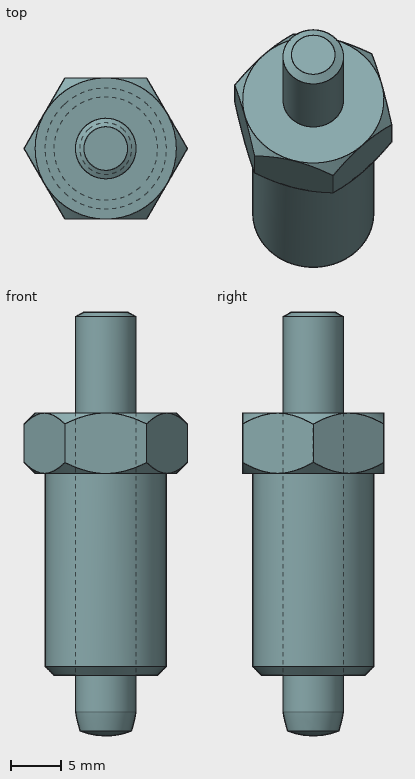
import cadquery as cq
import math

total_length = 42.0
pin_diameter = 6.0
pin_top_chamfer_width = 0.85
pin_top_chamfer_height = 0.45
tip_length = 2.4
dome_height = 0.5
dome_rim_radius = 2.55
taper_bulge = 0.05

barrel_diameter = 12.0
barrel_bottom = 6.0
barrel_chamfer = 0.9
head_bottom = 26.0
head_height = 6.0
head_across_flats = 14.0
head_across_corners = 16.2

pin_radius = pin_diameter / 2
taper_mid_radius = (pin_radius + dome_rim_radius) / 2 + taper_bulge
taper_mid_height = (tip_length + dome_height) / 2
dome_sphere_radius = (dome_rim_radius**2 + dome_height**2) / (2 * dome_height)
dome_mid_radius = dome_rim_radius / 2
dome_mid_height = dome_sphere_radius - math.sqrt(dome_sphere_radius**2 - dome_mid_radius**2)
barrel_length = head_bottom - barrel_bottom
head_corner_radius = head_across_corners / 2
head_flat_radius = head_across_flats / 2
head_corner_chamfer = head_corner_radius - head_flat_radius


def make_barrel():
    """Cylinder from the barrel end up to the head, chamfered at its lower rim."""
    return (
        cq.Workplane("XY", origin=(0, 0, barrel_bottom))
        .circle(barrel_diameter / 2)
        .extrude(barrel_length)
        .faces("<Z")
        .chamfer(barrel_chamfer)
    )


def make_head():
    """Hexagon with corners along X, its corners cut by a 45 degree cone at both ends."""
    head_plane = cq.Workplane("XY", origin=(0, 0, head_bottom))
    side_corner_x = head_corner_radius / 2
    corners = [
        (head_corner_radius, 0),
        (side_corner_x, head_flat_radius),
        (-side_corner_x, head_flat_radius),
        (-head_corner_radius, 0),
        (-side_corner_x, -head_flat_radius),
        (side_corner_x, -head_flat_radius),
    ]
    hexagon = head_plane.polyline(corners).close().extrude(head_height)
    chamfered_disc = (
        head_plane.circle(head_corner_radius)
        .extrude(head_height)
        .faces("<Z or >Z")
        .chamfer(head_corner_chamfer)
    )
    return hexagon.intersect(chamfered_disc)


def make_housing():
    """Barrel and head in one piece, with a through bore that fits the pin."""
    bore = (
        cq.Workplane("XY", origin=(0, 0, barrel_bottom))
        .circle(pin_radius)
        .extrude(barrel_length + head_height)
    )
    return make_barrel().union(make_head()).cut(bore)


def make_pin():
    """Revolved pin with a domed, tapered lower tip and a chamfered upper end."""
    return (
        cq.Workplane("XZ")
        .moveTo(0, 0)
        .threePointArc((dome_mid_radius, dome_mid_height), (dome_rim_radius, dome_height))
        .threePointArc((taper_mid_radius, taper_mid_height), (pin_radius, tip_length))
        .lineTo(pin_radius, total_length - pin_top_chamfer_height)
        .lineTo(pin_radius - pin_top_chamfer_width, total_length)
        .lineTo(0, total_length)
        .close()
        .revolve(360, (0, 0), (0, 1))
    )


housing = make_housing()
pin = make_pin()

result = cq.Compound.makeCompound([housing.val(), pin.val()])